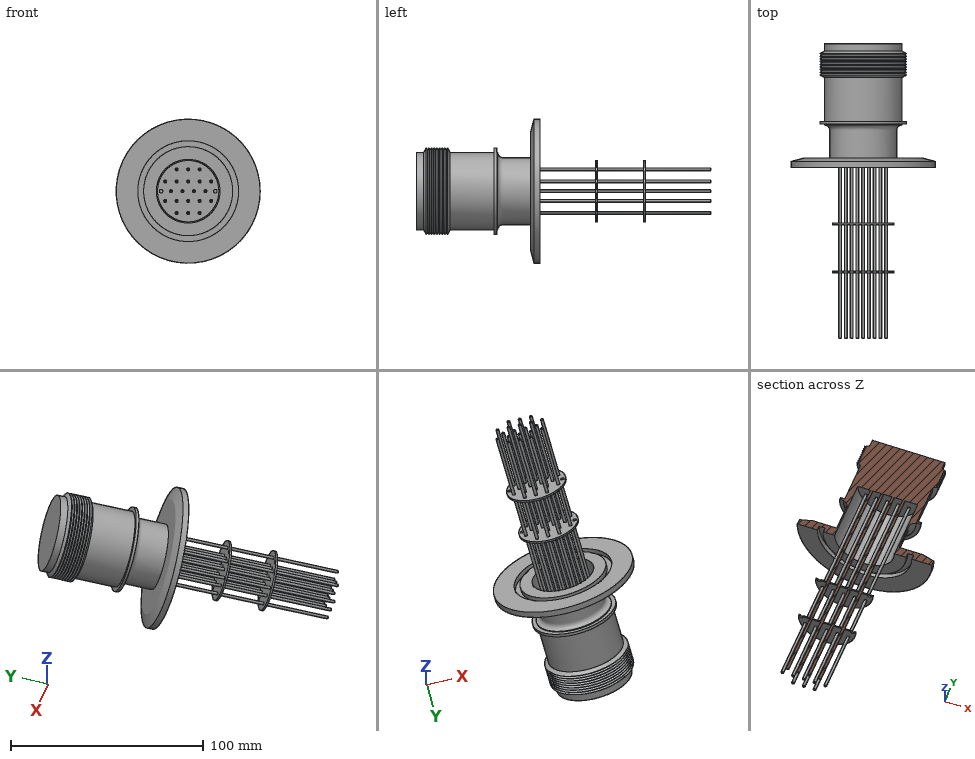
import cadquery as cq
import math


flange_diameter = 75.0
flange_radius = flange_diameter / 2
flange_rim = 3.2
flange_thickness = 5.0
flange_taper_angle = 15
groove_outer_radius = 26.2
groove_inner_radius = 23.1
groove_depth = 2.6

neck_radius = 17.5
bore_radius = 16.5
bore_depth = 33.7
flare_start = 19.3
shell_radius = 20.2
flare_radius = shell_radius - neck_radius
collar_radius = 22.5
collar_bottom = 22.5
collar_top = 24.0

shell_top = 64.4
thread_bottom = 46.8
thread_top = 60.5
thread_root_radius = 21.6
thread_crest_radius = collar_radius
ridge_count = 9
ridge_pitch = 1.4

total_length = 153.3
pin_radius = 0.8
pin_chamfer = 0.5
pin_embedment = 1.5
pin_end = shell_top - total_length
pin_pitch = 6.0
inner_row = 5.0
outer_row = 11.3
pin_rows = [(0, 4), (inner_row, 5), (-inner_row, 5), (outer_row, 3), (-outer_row, 3)]
disc_radius = 16.0
disc_thickness = 1.0
first_disc_centre = -29.3
disc_spacing = 25.0
disc_hole_radius = 0.9
disc_hole_offset = 14.1


def cylinder(radius, start, end, points=((0, 0),)):
    """Cylinders along Y from start to end, centred on the (x, z) points."""
    plane = cq.Workplane(cq.Plane(origin=(0, start, 0), xDir=(1, 0, 0), normal=(0, 1, 0)))
    sketch_points = [(x, -z) for x, z in points]
    return plane.pushPoints(sketch_points).circle(radius).extrude(end - start)


def thread_points():
    """(radius, y) of the sharp thread crests and the roots between them, from bottom to top.

    The ridges are separate rings; the outermost two slope straight down to the shell.
    """
    middle = (thread_bottom + thread_top) / 2
    first_crest = middle - ridge_pitch * (ridge_count - 1) / 2
    points = [(thread_crest_radius, first_crest)]
    for index in range(1, ridge_count):
        crest = first_crest + index * ridge_pitch
        points.append((thread_root_radius, crest - ridge_pitch / 2))
        points.append((thread_crest_radius, crest))
    return points


def make_shell():
    """Flange, neck, flare, collar and threaded shell as one turned body."""
    taper_run = (flange_thickness - flange_rim) / math.tan(math.radians(flange_taper_angle))
    flare_end = flare_start + flare_radius
    profile = (
        cq.Workplane("XY")
        .moveTo(0, bore_depth)
        .lineTo(bore_radius, bore_depth)
        .lineTo(bore_radius, 0)
        .lineTo(flange_radius, 0)
        .lineTo(flange_radius, flange_rim)
        .lineTo(flange_radius - taper_run, flange_thickness)
        .lineTo(neck_radius, flange_thickness)
        .lineTo(neck_radius, flare_start)
        .radiusArc((shell_radius, flare_end), flare_radius)
        .lineTo(shell_radius, collar_bottom)
        .lineTo(collar_radius, collar_bottom)
        .lineTo(collar_radius, collar_top)
        .lineTo(shell_radius, collar_top)
        .lineTo(shell_radius, thread_bottom)
    )
    for radius, y in thread_points():
        profile = profile.lineTo(radius, y)
    profile = (
        profile.lineTo(shell_radius, thread_top)
        .lineTo(shell_radius, shell_top)
        .lineTo(0, shell_top)
        .close()
    )
    return profile.revolve(360, (0, 0, 0), (0, 1, 0))


def make_groove():
    """Ring-shaped recess in the sealing face."""
    ring = cylinder(groove_outer_radius, 0, groove_depth)
    return ring.cut(cylinder(groove_inner_radius, 0, groove_depth))


def pin_points():
    """(x, z) centres of the pins, each row centred on the axis."""
    return [
        ((index - (count - 1) / 2) * pin_pitch, z)
        for z, count in pin_rows
        for index in range(count)
    ]


def make_pins():
    """Pins from just inside the bore floor to their chamfered free ends."""
    pins = cylinder(pin_radius, pin_end, bore_depth + pin_embedment, pin_points())
    return pins.faces("<Y").chamfer(pin_chamfer)


def make_disc(centre):
    """Spacer disc with a small hole near each side."""
    start = centre - disc_thickness / 2
    end = centre + disc_thickness / 2
    hole_points = [(-disc_hole_offset, 0), (disc_hole_offset, 0)]
    holes = cylinder(disc_hole_radius, start, end, hole_points)
    return cylinder(disc_radius, start, end).cut(holes)


result = make_shell().cut(make_groove()).union(make_pins())
for centre in (first_disc_centre, first_disc_centre - disc_spacing):
    result = result.union(make_disc(centre))